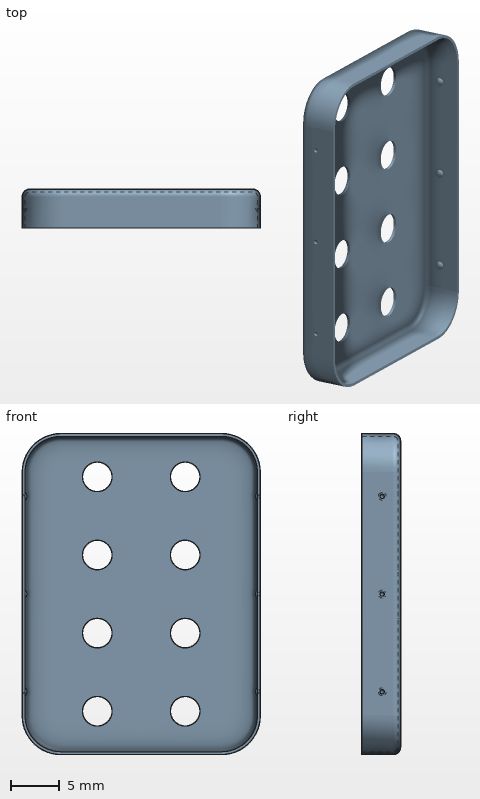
import cadquery as cq

width = 24.4
depth = 4.0
height = 32.9
wall = 0.3
corner_radius = 4.0
floor_edge_radius = 0.8

hole_diameter = 3.0
hole_columns = 2
hole_rows = 4
hole_pitch_x = 9.0
hole_pitch_z = 8.0

hollow_radius = 0.22
bump_radius = 0.5
dimple_pitch_z = 10.0
dimples_per_side = 3
dimple_rim_distance = 2.1

rim_y = -depth / 2
floor_y = depth / 2


def rounded_block(inset):
    """Block with rounded corners and floor edge, inset from all faces but the rim."""
    return (
        cq.Workplane("XZ", origin=(0, rim_y, 0))
        .rect(width - 2 * inset, height - 2 * inset)
        .extrude(-(depth - inset))
        .edges("|Y")
        .fillet(corner_radius - inset)
        .faces(">Y")
        .edges()
        .fillet(floor_edge_radius - inset)
    )


def floor_holes():
    """Cylinders that pass through the floor."""
    return (
        cq.Workplane("XZ", origin=(0, floor_y, 0))
        .rarray(hole_pitch_x, hole_pitch_z, hole_columns, hole_rows)
        .circle(hole_diameter / 2)
        .extrude(depth)
    )


def dimple_balls(wall_x, radius):
    """Row of balls centred on the plane of a side wall face at wall_x."""
    return (
        cq.Workplane("YZ", origin=(wall_x, rim_y + dimple_rim_distance, 0))
        .rarray(1, dimple_pitch_z, 1, dimples_per_side)
        .sphere(radius)
    )


def press_dimples(tray, side):
    """Raise bumps on the inner face of one side wall and hollow its outer face."""
    outer_x = side * width / 2
    bumps = dimple_balls(outer_x, bump_radius).intersect(rounded_block(0))
    return tray.union(bumps).cut(dimple_balls(outer_x, hollow_radius))


result = rounded_block(0).cut(rounded_block(wall)).cut(floor_holes())
for side in (-1, 1):
    result = press_dimples(result, side)